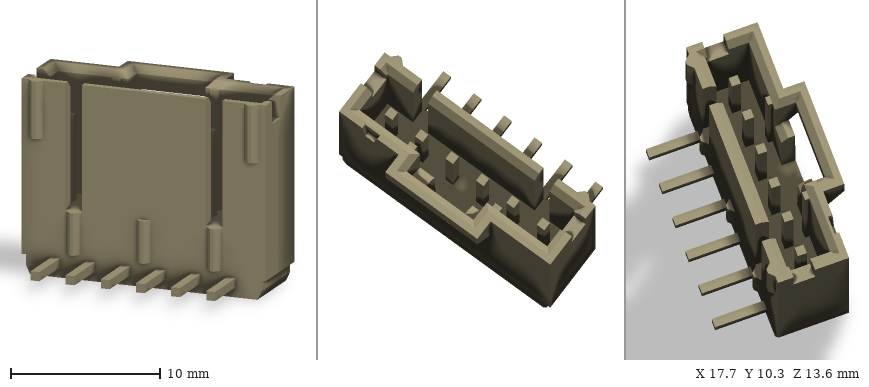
import cadquery as cq


LENGTH = 17.65
DEPTH = 5.08
HEIGHT = 13.59
WALL = 0.99
FLOOR_Z = 4.7
LEAD_IN = 0.5

FOOT_HEIGHT = 1.36
FOOT_INSET = 0.3
FOOT_BEVEL_WIDTH = 0.3
FOOT_BEVEL_HEIGHT = 0.64

BUMP_WIDTH = 7.7
BUMP_PROJECTION = 1.5
BUMP_SIDE_WALL = 1.06
BUMP_FACE_HEIGHT = 1.55
WINDOW_SILL_Z = 9.78

BACK_GAP_TOP_WIDTH = 3.21
BACK_GAP_BOTTOM_WIDTH = 2.97

SLOT_WIDTH = 1.24
SIDE_NOTCH_WIDTH = 1.54
SIDE_NOTCH_DEPTH = 1.55
SIDE_NOTCH_Y = 1.89

MARK_X = 6.27
MARK_TOP_WIDTH = 1.27
MARK_BOTTOM_WIDTH = 0.7
MARK_HEIGHT = 1.59
MARK_DEPTH = 0.32

GUIDE_WIDTH = 0.58
GUIDE_PROJECTION = 0.32

RIB_WIDTH = 1.06
RIB_TIP_WIDTH = 0.28
RIB_PROJECTION = 0.39
UPPER_RIB_X = 7.8
UPPER_RIB_LENGTH = 4.02
LOWER_RIB_BOTTOM_Z = 1.73

PIN_COUNT = 6
PIN_PITCH = 2.55
PIN_SIZE = 0.64
PIN_Y = 2.55
PIN_REACH = 3.69
POST_HEIGHT = 6.0
SHOULDER_DEPTH = 1.24
SHOULDER_HEIGHT = 0.05

SLOT_X = 2 * PIN_PITCH
LEAD_IN_Z = HEIGHT - LEAD_IN
WINDOW_TOP_Z = HEIGHT - BUMP_FACE_HEIGHT


def block(x_range, y_range, z_range):
    """Axis-aligned block between the given limits."""
    (x0, x1), (y0, y1), (z0, z1) = x_range, y_range, z_range
    return cq.Workplane("XY").box(x1 - x0, y1 - y0, z1 - z0, centered=False).translate((x0, y0, z0))


def centred(middle, width):
    """Limits of a span of the given width about its middle."""
    return middle - width / 2, middle + width / 2


def tapered_gap(x, top_width, bottom_width, y_range, z_range):
    """Trapezoid in XZ, symmetric about x, running through y_range."""
    bottom_left, bottom_right = centred(x, bottom_width)
    top_left, top_right = centred(x, top_width)
    outline = [
        (bottom_left, z_range[0]),
        (bottom_right, z_range[0]),
        (top_right, z_range[1]),
        (top_left, z_range[1]),
    ]
    solid = cq.Workplane("XZ").polyline(outline).close().extrude(y_range[0] - y_range[1])
    return solid.translate((0, y_range[0], 0))


def lead_in(x_range, y_range):
    """Flared mouth above a rectangular opening, widening by LEAD_IN on every side."""
    (x0, x1), (y0, y1) = x_range, y_range
    return (
        cq.Workplane("XY", origin=((x0 + x1) / 2, (y0 + y1) / 2, LEAD_IN_Z))
        .rect(x1 - x0, y1 - y0)
        .workplane(offset=LEAD_IN)
        .rect(x1 - x0 + 2 * LEAD_IN, y1 - y0 + 2 * LEAD_IN)
        .loft(ruled=True)
    )


def housing():
    half = LENGTH / 2
    foot_half = half - FOOT_INSET
    bottom_half = foot_half - FOOT_BEVEL_WIDTH
    right_side = [
        (bottom_half, 0),
        (foot_half, FOOT_BEVEL_HEIGHT),
        (foot_half, FOOT_HEIGHT),
        (half, FOOT_HEIGHT),
        (half, HEIGHT),
    ]
    left_side = [(-x, z) for x, z in reversed(right_side)]
    body = cq.Workplane("XZ").polyline(right_side + left_side).close().extrude(-DEPTH)

    bump_back = DEPTH + BUMP_PROJECTION
    bump_profile = [
        (DEPTH - WALL, HEIGHT),
        (bump_back, HEIGHT),
        (bump_back, WINDOW_TOP_Z),
        (DEPTH, WINDOW_SILL_Z),
        (DEPTH - WALL, WINDOW_SILL_Z),
    ]
    bump = cq.Workplane("YZ").polyline(bump_profile).close().extrude(BUMP_WIDTH / 2, both=True)
    return body.union(bump)


def cavity():
    half = LENGTH / 2 - WALL
    bay_half = BUMP_WIDTH / 2 - BUMP_SIDE_WALL
    back = DEPTH - WALL
    bay_back = back + BUMP_PROJECTION

    pocket = block((-half, half), (WALL, back), (FLOOR_Z, HEIGHT))
    bay = block((-bay_half, bay_half), (WALL, bay_back), (WINDOW_SILL_Z, HEIGHT))

    window = block((-bay_half, bay_half), (back, DEPTH + BUMP_PROJECTION), (WINDOW_SILL_Z, WINDOW_TOP_Z))
    mouth = lead_in((-half, half), (WALL, back))
    bay_mouth = lead_in((-bay_half, bay_half), (WALL + LEAD_IN, bay_back))

    sill_bevel = (
        cq.Workplane("YZ")
        .polyline([(back, WINDOW_SILL_Z - LEAD_IN), (back + LEAD_IN, WINDOW_SILL_Z), (back, WINDOW_SILL_Z)])
        .close()
        .extrude(bay_half, both=True)
    )
    back_gap = tapered_gap(
        0, BACK_GAP_TOP_WIDTH, BACK_GAP_BOTTOM_WIDTH, (back, DEPTH), (FLOOR_Z, WINDOW_SILL_Z)
    )

    space = pocket
    for part in (bay, window, mouth, bay_mouth, sill_bevel, back_gap):
        space = space.union(part)
    return space


def wall_openings():
    half = LENGTH / 2
    openings = tapered_gap(
        MARK_X, MARK_TOP_WIDTH, MARK_BOTTOM_WIDTH, (DEPTH - MARK_DEPTH, DEPTH), (HEIGHT - MARK_HEIGHT, HEIGHT)
    )
    side_notches = block(
        (-half, half), centred(SIDE_NOTCH_Y, SIDE_NOTCH_WIDTH), (HEIGHT - SIDE_NOTCH_DEPTH, HEIGHT)
    )
    openings = openings.union(side_notches)
    for x in (-SLOT_X, SLOT_X):
        openings = openings.union(block(centred(x, SLOT_WIDTH), (0, WALL), (FLOOR_Z, HEIGHT)))
    return openings


def guide_ribs():
    back = DEPTH - WALL
    outer = BUMP_WIDTH / 2
    inner = outer - GUIDE_WIDTH
    y_range = (back - GUIDE_PROJECTION, back)
    z_range = (FLOOR_Z, LEAD_IN_Z)
    return block((inner, outer), y_range, z_range).union(block((-outer, -inner), y_range, z_range))


def front_rib(x, z_range):
    """Upright rib of trapezoidal section on the front face."""
    base_left, base_right = centred(x, RIB_WIDTH)
    tip_left, tip_right = centred(x, RIB_TIP_WIDTH)
    section = [(base_left, 0), (tip_left, -RIB_PROJECTION), (tip_right, -RIB_PROJECTION), (base_right, 0)]
    rib = cq.Workplane("XY").polyline(section).close().extrude(z_range[1] - z_range[0])
    return rib.translate((0, 0, z_range[0]))


def pin(x):
    """Right-angle pin: post in the cavity with a low shoulder, and a tail out of the front."""
    x_range = centred(x, PIN_SIZE)
    tail = block(x_range, (-PIN_REACH, 0), (FOOT_HEIGHT - PIN_SIZE, FOOT_HEIGHT))
    shoulder = block(x_range, centred(PIN_Y, SHOULDER_DEPTH), (FLOOR_Z, FLOOR_Z + SHOULDER_HEIGHT))
    post = block(x_range, centred(PIN_Y, PIN_SIZE), (FLOOR_Z, FLOOR_Z + POST_HEIGHT))
    return [tail, shoulder, post]


result = housing().cut(cavity()).cut(wall_openings()).union(guide_ribs())

for rib_x in (-UPPER_RIB_X, UPPER_RIB_X):
    result = result.union(front_rib(rib_x, (HEIGHT - UPPER_RIB_LENGTH, HEIGHT)))
for rib_x in (-SLOT_X, 0, SLOT_X):
    result = result.union(front_rib(rib_x, (LOWER_RIB_BOTTOM_Z, FLOOR_Z)))

for index in range(PIN_COUNT):
    pin_x = (index - (PIN_COUNT - 1) / 2) * PIN_PITCH
    for piece in pin(pin_x):
        result = result.union(piece)